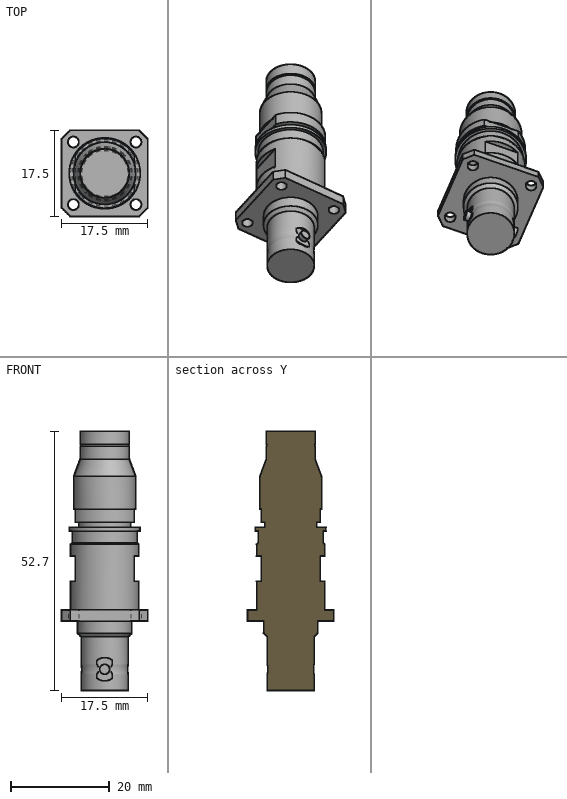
import cadquery as cq

TOTAL_LENGTH = 52.65

FLANGE_SIDE = 17.5
FLANGE_CORNER = 1.8
FLANGE_BOTTOM = 14.1
FLANGE_TOP = 16.35
HOLE_PITCH = 12.7
HOLE_DIAMETER = 2.15

SOCKET_RADIUS = 4.8
SHOULDER_RADIUS = 5.5
SHOULDER_BOTTOM = 11.65
TAPER_HEIGHT = SHOULDER_RADIUS - SOCKET_RADIUS
PIN_HEIGHT = 4.3
PIN_RADIUS = 1.0
PIN_REACH = SHOULDER_RADIUS
GROOVE_HALF_HEIGHT = 1.0
GROOVE_DEPTH = 0.1
SPOTFACE_RADIUS = 2.35
SPOTFACE_DISTANCE = 4.5

BARREL_RADIUS = 6.95
BARREL_TOP = 29.65
BARREL_CHAMFER = 0.3
RELIEF_RADIUS = BARREL_RADIUS - BARREL_CHAMFER
WASHER_RADIUS = 7.2
WASHER_BOTTOM = 32.3
WASHER_TOP = 33.15
NECK_RADIUS = 5.3

FLAT_DISTANCE = 6.0
BARREL_FLAT_BOTTOM = 22.2
BARREL_FLAT_TOP = 27.25

NUT_RADIUS = 7.05
NUT_BOTTOM = 34.1
NUT_TOP = 36.8
SLEEVE_RADIUS = 6.3
SLEEVE_TOP = 43.4
CABLE_RADIUS = 5.0
CABLE_BOTTOM = 46.95
CABLE_GROOVE_DEPTH = 0.1
CABLE_GROOVE_BOTTOM = 49.6
CABLE_GROOVE_TOP = 49.95


def turned_body():
    """Revolved body, its half outline running upwards from the bottom of the socket."""
    groove_floor = SOCKET_RADIUS - GROOVE_DEPTH
    cable_groove_radius = CABLE_RADIUS - CABLE_GROOVE_DEPTH
    outline = (
        cq.Workplane("XZ")
        .lineTo(SOCKET_RADIUS, 0)
        .lineTo(SOCKET_RADIUS, PIN_HEIGHT - GROOVE_HALF_HEIGHT)
        .threePointArc((groove_floor, PIN_HEIGHT), (SOCKET_RADIUS, PIN_HEIGHT + GROOVE_HALF_HEIGHT))
        .lineTo(SOCKET_RADIUS, SHOULDER_BOTTOM - TAPER_HEIGHT)
        .lineTo(SHOULDER_RADIUS, SHOULDER_BOTTOM)
        .lineTo(SHOULDER_RADIUS, FLANGE_BOTTOM)
        .lineTo(BARREL_RADIUS, FLANGE_BOTTOM)
        .lineTo(BARREL_RADIUS, BARREL_TOP)
        .lineTo(RELIEF_RADIUS, BARREL_TOP + BARREL_CHAMFER)
        .lineTo(RELIEF_RADIUS, WASHER_BOTTOM)
        .lineTo(WASHER_RADIUS, WASHER_BOTTOM)
        .lineTo(WASHER_RADIUS, WASHER_TOP)
        .lineTo(NECK_RADIUS, WASHER_TOP)
        .lineTo(NECK_RADIUS, NUT_BOTTOM)
        .lineTo(NUT_RADIUS, NUT_BOTTOM)
        .lineTo(NUT_RADIUS, NUT_TOP)
        .lineTo(SLEEVE_RADIUS, NUT_TOP)
        .lineTo(SLEEVE_RADIUS, SLEEVE_TOP)
        .lineTo(CABLE_RADIUS, CABLE_BOTTOM)
        .lineTo(CABLE_RADIUS, CABLE_GROOVE_BOTTOM)
        .lineTo(cable_groove_radius, CABLE_GROOVE_BOTTOM)
        .lineTo(cable_groove_radius, CABLE_GROOVE_TOP)
        .lineTo(CABLE_RADIUS, CABLE_GROOVE_TOP)
        .lineTo(CABLE_RADIUS, TOTAL_LENGTH)
        .lineTo(0, TOTAL_LENGTH)
        .close()
    )
    return outline.revolve(360, (0, 0), (0, 1))


def mounting_flange():
    """Square plate with cut corners; its four holes pass right through."""
    return (
        cq.Workplane("XY", origin=(0, 0, FLANGE_BOTTOM))
        .rect(FLANGE_SIDE, FLANGE_SIDE)
        .extrude(FLANGE_TOP - FLANGE_BOTTOM)
        .edges("|Z")
        .chamfer(FLANGE_CORNER)
        .faces(">Z")
        .workplane()
        .rect(HOLE_PITCH, HOLE_PITCH, forConstruction=True)
        .vertices()
        .hole(HOLE_DIAMETER)
    )


def wrench_flat_cutter(side, bottom, top):
    """Block that leaves a flat facing +X (side = 1) or -X (side = -1)."""
    depth = NUT_RADIUS - FLAT_DISTANCE
    return (
        cq.Workplane("XY", origin=(side * (FLAT_DISTANCE + depth / 2), 0, bottom))
        .rect(depth, 2 * NUT_RADIUS)
        .extrude(top - bottom)
    )


def spotface_cutter(side):
    """Disc along Y that sinks a flat circular floor around the pin at +Y (side = 1) or -Y (side = -1)."""
    depth = SOCKET_RADIUS - SPOTFACE_DISTANCE
    middle = SPOTFACE_DISTANCE + depth / 2
    return (
        cq.Workplane("XZ", origin=(0, side * middle, PIN_HEIGHT))
        .circle(SPOTFACE_RADIUS)
        .extrude(depth / 2, both=True)
    )


def bayonet_pins():
    """Single rod across the socket whose two ends stand out along Y."""
    return (
        cq.Workplane("XZ", origin=(0, 0, PIN_HEIGHT))
        .circle(PIN_RADIUS)
        .extrude(PIN_REACH, both=True)
    )


result = turned_body().union(mounting_flange())
for side in (-1, 1):
    result = result.cut(wrench_flat_cutter(side, BARREL_FLAT_BOTTOM, BARREL_FLAT_TOP))
    result = result.cut(wrench_flat_cutter(side, NUT_BOTTOM, NUT_TOP))
    result = result.cut(spotface_cutter(side))
result = result.union(bayonet_pins())